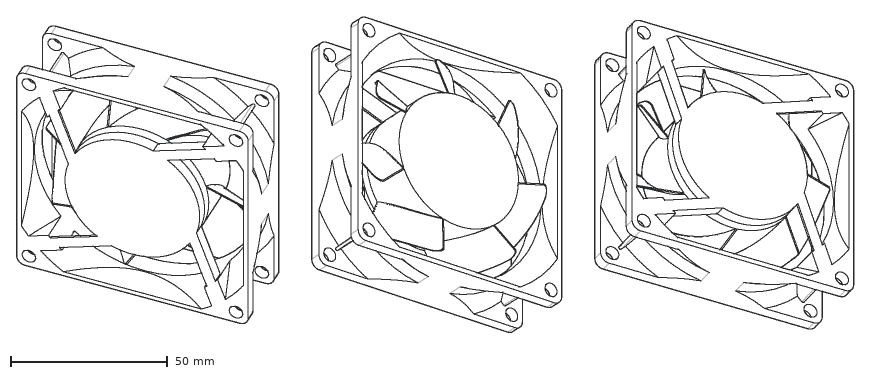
import cadquery as cq

side = 80.0
depth = 25.4
half_depth = depth / 2
front = -half_depth
flange_thickness = 4.0
corner_radius = 3.0
screw_spacing = 71.5
screw_diameter = 4.6

throat_radius = 38.2
mouth_radius = 45.1
mouth_width = 76.6
throat_front = -2.4
throat_rear = 4.0

outer_throat_radius = 40.5
outer_mouth_radius = 47.7
outer_throat_front = -1.5

rib_thickness = 1.0
rib_end_radius = 47.1

plate_radius = 23.3
plate_thickness = 4.0
arm_count = 4
arm_angle = 20.0
arm_offset = 16.4
arm_width = 3.8
arm_inner_thickness = 0.8
web_width = 5.9

hub_radius = 23.4
impeller_front = -5.6
impeller_rear = 12.0
blade_count = 7
blade_tip_radius = 35.4
blade_thickness = 0.5
blade_front_fillet = 0.6
blade_rear_fillet = 2.0
blade_root_height = 19.2
blade_root_x = (-11.8, -7.0, 2.0)
blade_top_height = 36.8
blade_top_x = (-10.3, -3.2, 11.0)


def block(width, y_start, y_end):
    """Square block centred on the Y axis."""
    return cq.Workplane("XY").box(width, y_end - y_start, width).translate((0, (y_start + y_end) / 2, 0))


def disc(radius, y_start, y_end):
    """Cylinder along the Y axis."""
    return cq.Workplane("XZ", origin=(0, y_start, 0)).circle(radius).extrude(y_start - y_end)


def duct_shape(throat, mouth, front_end):
    """Solid of revolution: a throat from front_end to throat_rear, widening to the mouth at both ends."""
    return (
        cq.Workplane("XY")
        .moveTo(0, front)
        .lineTo(mouth, front)
        .lineTo(throat, front_end)
        .lineTo(throat, throat_rear)
        .lineTo(mouth, half_depth)
        .lineTo(0, half_depth)
        .close()
        .revolve(360, (0, 0, 0), (0, 1, 0))
    )


def arm_bars(width, outer_thickness, inner_thickness):
    """Bars tangential to the motor plate, running from beside the axis past the corners.

    The rear face slopes, so that each bar is thinner on the side that faces the axis.
    """
    inner_z = arm_offset - width / 2
    outer_z = arm_offset + width / 2
    bar = (
        cq.Workplane("YZ")
        .moveTo(front, inner_z)
        .lineTo(front, outer_z)
        .lineTo(front + outer_thickness, outer_z)
        .lineTo(front + inner_thickness, inner_z)
        .close()
        .extrude(side)
    )
    bars = cq.Workplane("XY")
    for i in range(arm_count):
        bars = bars.add(bar.rotate((0, 0, 0), (0, 1, 0), i * 360 / arm_count - arm_angle))
    return bars.combine()


def flange(y_start):
    return block(side, y_start, y_start + flange_thickness).edges("|Y").fillet(corner_radius)


def corner_ribs():
    """Two crossed diagonal plates with rounded ends; the duct passage later leaves only their ends."""
    rear_plane = cq.Workplane("XZ", origin=(0, half_depth, 0))
    rib = rear_plane.slot2D(2 * rib_end_radius, rib_thickness).extrude(depth)
    diagonal = rib.rotate((0, 0, 0), (0, 1, 0), 45)
    return diagonal.union(diagonal.rotate((0, 0, 0), (0, 1, 0), 90))


def make_frame():
    outer_duct = duct_shape(outer_throat_radius, outer_mouth_radius, outer_throat_front)
    body = outer_duct.intersect(block(side, front, half_depth).edges("|Y").fillet(corner_radius))
    body = body.union(corner_ribs())
    body = body.union(flange(front)).union(flange(half_depth - flange_thickness))

    passage = duct_shape(throat_radius, mouth_radius, throat_front)
    passage = passage.intersect(block(mouth_width, front, half_depth))
    web_depth = throat_front - front
    webs = arm_bars(web_width, web_depth, web_depth).cut(disc(throat_radius, front, half_depth))
    body = body.cut(passage.cut(webs))

    arm_rear = front + plate_thickness
    arms = arm_bars(arm_width, plate_thickness, arm_inner_thickness)
    arms = arms.intersect(disc(outer_throat_radius, front, arm_rear))
    body = body.union(arms).union(disc(plate_radius, front, arm_rear))

    screw_holes = (
        cq.Workplane("XZ", origin=(0, half_depth, 0))
        .rect(screw_spacing, screw_spacing, forConstruction=True)
        .vertices()
        .circle(screw_diameter / 2)
        .extrude(depth)
    )
    return body.cut(screw_holes)


def blade_section(height, camber_x):
    """Wire of a curved strip of constant circumferential thickness, at one height above the axis."""
    x_front, x_middle, x_rear = camber_x
    y_middle = (impeller_front + impeller_rear) / 2
    return (
        cq.Workplane("XY", origin=(0, 0, height))
        .moveTo(x_front, impeller_front)
        .threePointArc((x_middle, y_middle), (x_rear, impeller_rear))
        .lineTo(x_rear + blade_thickness, impeller_rear)
        .threePointArc((x_middle + blade_thickness, y_middle), (x_front + blade_thickness, impeller_front))
        .close()
        .wires()
        .val()
    )


def make_blade():
    """Blade lofted between its root and top sections, trimmed to a disc with rounded rims."""
    root = blade_section(blade_root_height, blade_root_x)
    top = blade_section(blade_top_height, blade_top_x)
    blank = cq.Workplane(cq.Solid.makeLoft([root, top], True))
    envelope = disc(blade_tip_radius, impeller_front, impeller_rear)
    envelope = envelope.faces("<Y").edges().fillet(blade_front_fillet)
    envelope = envelope.faces(">Y").edges().fillet(blade_rear_fillet)
    return blank.intersect(envelope)


def make_impeller():
    impeller = disc(hub_radius, impeller_front, impeller_rear)
    blade = make_blade()
    for i in range(blade_count):
        impeller = impeller.union(blade.rotate((0, 0, 0), (0, 1, 0), i * 360 / blade_count))
    return impeller


frame = make_frame()
impeller = make_impeller()

result = cq.Compound.makeCompound([frame.solids().val(), impeller.solids().val()])